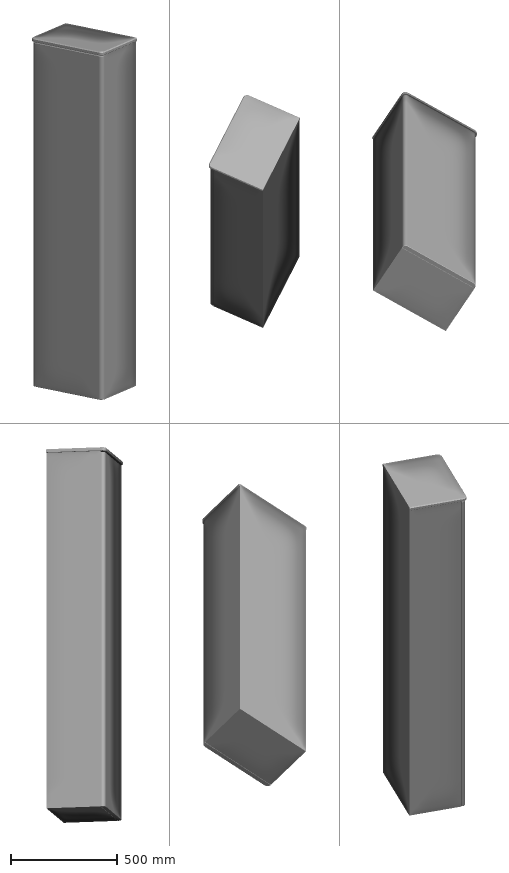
import cadquery as cq

total_width = 413.0
total_depth = 287.0
total_height = 1719.0

top_thickness = 17.0
top_overhang = 5.0
top_corner_radius = 20.0
top_upper_chamfer = 4.3
top_lower_chamfer = 2.0

door_thickness = 20.0
door_side_flat = 2.0
door_edge_chamfer = 2.0
door_back_gap = 2.0
door_top_gap = 5.0

body_width = total_width - 2 * top_overhang
carcass_height = total_height - top_thickness
door_height = carcass_height - door_top_gap
door_corner_radius = door_thickness - door_side_flat
back_y = total_depth / 2
top_front_y = -total_depth / 2
door_front_y = top_front_y + top_overhang
door_back_y = door_front_y + door_thickness
carcass_front_y = door_back_y + door_back_gap


def upright_block(width, front_y, rear_y, bottom_z, height):
    """Block centred on X, between two Y planes, standing on bottom_z."""
    return (
        cq.Workplane("XY", origin=(0, (front_y + rear_y) / 2, bottom_z))
        .rect(width, rear_y - front_y)
        .extrude(height)
    )


def make_carcass():
    """Plain cabinet box behind the door."""
    return upright_block(body_width, carcass_front_y, back_y, 0, carcass_height)


def make_door():
    """Full-width door with round upright front corners and softened top and bottom edges."""
    door = upright_block(body_width, door_front_y, door_back_y, 0, door_height)
    door = door.edges("|Z and <Y").fillet(door_corner_radius)
    return door.faces("<Y").edges(">Z or <Z").chamfer(door_edge_chamfer)


def make_top_panel():
    """Overhanging top with round front corners, chamfered above and below along the front and sides."""
    panel = upright_block(total_width, top_front_y, back_y, carcass_height, top_thickness)
    panel = panel.edges("|Z and <Y").fillet(top_corner_radius)
    panel = panel.faces("<Y").edges(">Z").chamfer(top_upper_chamfer)
    return panel.faces("<Y").edges("<Z").chamfer(top_lower_chamfer)


carcass = make_carcass()
door = make_door()
top_panel = make_top_panel()

result = cq.Compound.makeCompound([carcass.val(), door.val(), top_panel.val()])